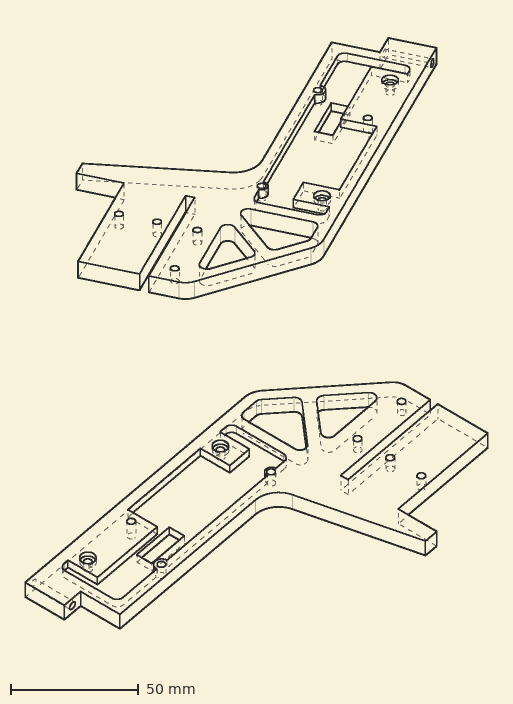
import cadquery as cq
import math

WIDTH = 105.92
LENGTH = 180.0
THICKNESS = 8.0
WALL = 5.0

COLUMN_LEFT = WIDTH - 40.0
TAB_LEFT = WIDTH - 20.0
TAB_LENGTH = 10.0
COLUMN_TOP = LENGTH - TAB_LENGTH

ARM_BOTTOM = 55.0
ARM_TIP_HEIGHT = 7.0
ARM_SLOPE_DEG = 13.3
ARM_FILLET = 12.0

LEG_LEFT = 19.7
SLOT_LEFT = 45.25
SLOT_WIDTH = 3.75
SLOT_RIGHT = SLOT_LEFT + SLOT_WIDTH

CORNER_CUT = 41.1
CUT_LOWER_FILLET = 8.0
CUT_UPPER_FILLET = 10.0

WINDOW_FILLET = 3.0
WINDOW_LEFT = WIDTH - 40.8
STRUT_RISE = 10.0
STRUT_HEIGHT = 8.2
DIAGONAL_WALL = WALL * math.sqrt(2)

POCKET_DEPTH = 4.0
POCKET_FILLET = 3.0
POCKET_LEFT = WIDTH - 34.85
POCKET_RIGHT = WIDTH - WALL
POCKET_BOTTOM = ARM_BOTTOM + WALL
POCKET_TOP = COLUMN_TOP - WALL
POCKET_FLOOR = THICKNESS - POCKET_DEPTH

ISLAND_LEFT = TAB_LEFT
UPPER_ISLAND = (123.0, 159.7)
LOWER_ISLAND = (66.5, 78.5)

UPPER_BOSS = (138.15, 3.2)
LOWER_BOSS = (70.9, 2.7)

OPENING_LEFT = WIDTH - 28.75
OPENING_WIDTH = 7.6
OPENING_BOTTOM = 117.0
OPENING_LENGTH = 20.0

HOLE_DIAMETER = 3.4
BLIND_DEPTH = 6.0
COUNTERBORE_DIAMETER = 6.5
COUNTERBORE_DEPTH = 2.2
ISLAND_HOLE_X = WIDTH - 10.15
UPPER_ISLAND_HOLE_Y = 153.75
LOWER_ISLAND_HOLE_Y = sum(LOWER_ISLAND) / 2
THROUGH_HOLE_Y = 127.15
BOSS_HOLE_X = POCKET_LEFT + 0.2
LEG_HOLE_INSET = 4.85
LEG_HOLE_Y = 35.0
FOOT_HOLE_Y = 8.0


def block(left, right, bottom, top, z_bottom, z_top):
    """Box given by its limits along each axis."""
    return (
        cq.Workplane("XY", origin=(0, 0, z_bottom))
        .moveTo((left + right) / 2, (bottom + top) / 2)
        .rect(right - left, top - bottom)
        .extrude(z_top - z_bottom)
    )


def cylinder(x, y, diameter, z_bottom, z_top):
    """Upright cylinder between two heights."""
    return (
        cq.Workplane("XY", origin=(x, y, z_bottom))
        .circle(diameter / 2)
        .extrude(z_top - z_bottom)
    )


def near_vertical_edge(x, y):
    """Selector for the upright edge closest to a plan position."""
    return cq.selectors.NearestToPointSelector((x, y, THICKNESS / 2))


def make_plate():
    arm_tip_top = ARM_BOTTOM + ARM_TIP_HEIGHT
    arm_root = (COLUMN_LEFT, arm_tip_top + COLUMN_LEFT * math.tan(math.radians(ARM_SLOPE_DEG)))
    cut_start = (WIDTH - CORNER_CUT, 0)
    cut_end = (WIDTH, CORNER_CUT)
    outline = [
        (LEG_LEFT, 0),
        (SLOT_LEFT, 0),
        (SLOT_LEFT, ARM_BOTTOM),
        (SLOT_RIGHT, ARM_BOTTOM),
        (SLOT_RIGHT, 0),
        cut_start,
        cut_end,
        (WIDTH, LENGTH),
        (TAB_LEFT, LENGTH),
        (TAB_LEFT, COLUMN_TOP),
        (COLUMN_LEFT, COLUMN_TOP),
        arm_root,
        (0, arm_tip_top),
        (0, ARM_BOTTOM),
        (LEG_LEFT, ARM_BOTTOM),
    ]
    plate = cq.Workplane("XY").polyline(outline).close().extrude(THICKNESS)
    plate = plate.edges(near_vertical_edge(*arm_root)).fillet(ARM_FILLET)
    for corner, radius in ((cut_start, CUT_LOWER_FILLET), (cut_end, CUT_UPPER_FILLET)):
        plate = plate.edges(near_vertical_edge(*corner)).fillet(radius)
    return plate


def make_windows():
    """Both lightening windows; distances inward run left from the right edge."""
    inner_cut = CORNER_CUT + DIAGONAL_WALL
    strut_top = STRUT_RISE + STRUT_HEIGHT / 2
    strut_bottom = STRUT_RISE - STRUT_HEIGHT / 2
    upper_tip = (inner_cut - strut_top) / 2
    lower_tip = (inner_cut - strut_bottom) / 2
    lower_inward = WIDTH - WINDOW_LEFT
    upper = [
        (WIDTH - WALL, ARM_BOTTOM),
        (WIDTH - (ARM_BOTTOM - strut_top), ARM_BOTTOM),
        (WIDTH - upper_tip, upper_tip + strut_top),
        (WIDTH - WALL, inner_cut - WALL),
    ]
    lower = [
        (WINDOW_LEFT, lower_inward + strut_bottom),
        (WINDOW_LEFT, inner_cut - lower_inward),
        (WIDTH - lower_tip, lower_tip + strut_bottom),
    ]
    return [
        cq.Workplane("XY").polyline(points).close().extrude(THICKNESS).edges("|Z").fillet(WINDOW_FILLET)
        for points in (upper, lower)
    ]


def make_pocket():
    pocket = block(POCKET_LEFT, POCKET_RIGHT, POCKET_BOTTOM, POCKET_TOP, POCKET_FLOOR, THICKNESS)
    pocket = pocket.edges("|Z").fillet(POCKET_FILLET)
    for bottom, top in (UPPER_ISLAND, LOWER_ISLAND):
        pocket = pocket.cut(block(ISLAND_LEFT, POCKET_RIGHT, bottom, top, POCKET_FLOOR, THICKNESS))
    for y, radius in (UPPER_BOSS, LOWER_BOSS):
        pocket = pocket.cut(cylinder(POCKET_LEFT, y, 2 * radius, POCKET_FLOOR, THICKNESS))
    return pocket


def make_opening():
    return block(
        OPENING_LEFT,
        OPENING_LEFT + OPENING_WIDTH,
        OPENING_BOTTOM,
        OPENING_BOTTOM + OPENING_LENGTH,
        0,
        THICKNESS,
    )


def make_holes():
    right_leg_hole_x = (SLOT_RIGHT + WINDOW_LEFT) / 2
    blind_places = [
        (LEG_LEFT + LEG_HOLE_INSET, LEG_HOLE_Y),
        (SLOT_LEFT - LEG_HOLE_INSET, LEG_HOLE_Y),
        (right_leg_hole_x, LEG_HOLE_Y),
        (right_leg_hole_x, FOOT_HOLE_Y),
        (BOSS_HOLE_X, UPPER_BOSS[0]),
        (BOSS_HOLE_X, LOWER_BOSS[0]),
        (ISLAND_HOLE_X, UPPER_ISLAND_HOLE_Y),
        (ISLAND_HOLE_X, LOWER_ISLAND_HOLE_Y),
    ]
    holes = [cylinder(x, y, HOLE_DIAMETER, THICKNESS - BLIND_DEPTH, THICKNESS) for x, y in blind_places]
    for y in (UPPER_ISLAND_HOLE_Y, LOWER_ISLAND_HOLE_Y):
        holes.append(
            cylinder(ISLAND_HOLE_X, y, COUNTERBORE_DIAMETER, THICKNESS - COUNTERBORE_DEPTH, THICKNESS)
        )
    holes.append(cylinder(ISLAND_HOLE_X, THROUGH_HOLE_Y, HOLE_DIAMETER, 0, THICKNESS))
    return holes


def make_tab_hole():
    """Cross hole running along X through the middle of the top tab."""
    return (
        cq.Workplane("YZ", origin=(TAB_LEFT, LENGTH - TAB_LENGTH / 2, THICKNESS / 2))
        .circle(HOLE_DIAMETER / 2)
        .extrude(WIDTH - TAB_LEFT)
    )


result = make_plate()
for cutter in [*make_windows(), make_pocket(), make_opening(), *make_holes(), make_tab_hole()]:
    result = result.cut(cutter)